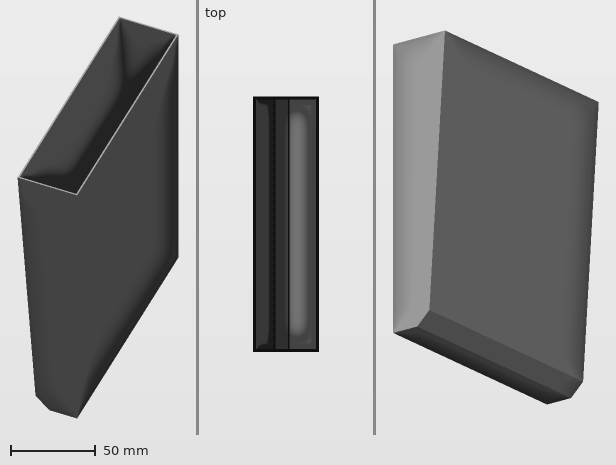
import cadquery as cq

top_width = 38.33
length = 150.0
height = 182.0
wall = 1.0

slope_run = 12.13
chamfer_size = 8.4


def make_body():
    """Solid wedge, sloping on its -X side, with a chamfered foot."""
    profile = [
        (0, height),
        (slope_run, 0),
        (top_width, 0),
        (top_width, height),
    ]
    wedge = cq.Workplane("XZ").polyline(profile).close().extrude(length / 2, both=True)
    return wedge.faces("<Z").edges("<X").chamfer(chamfer_size)


def hollow(body):
    """Open the top and leave an even wall inside the outline."""
    return body.faces(">Z").shell(-wall, kind="intersection")


result = hollow(make_body())